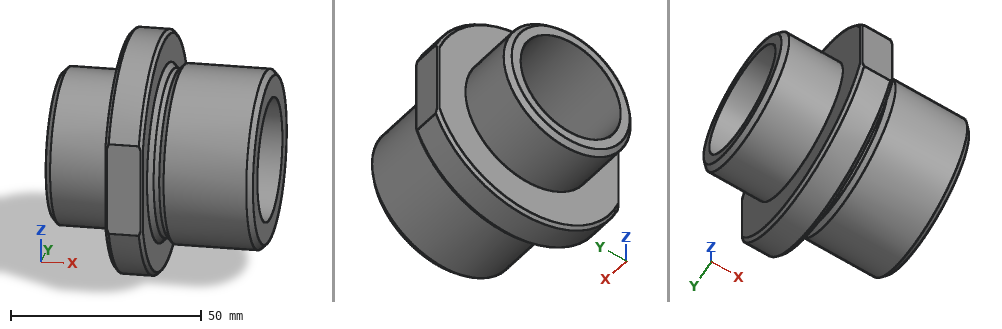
import cadquery as cq

bore_diameter = 33.0
spigot_diameter = 41.9
spigot_length = 18.0
flange_diameter = 65.0
flange_width = 10.0
flange_chamfer = 1.0
flange_across_flats = 60.0
flat_chamfer = 0.5
body_diameter = 47.8
groove_diameter = 44.85
groove_floor_width = 1.5
end_chamfer = 1.5
total_length = 56.0

bore_radius = bore_diameter / 2
spigot_radius = spigot_diameter / 2
flange_radius = flange_diameter / 2
body_radius = body_diameter / 2
groove_radius = groove_diameter / 2
groove_depth = body_radius - groove_radius
flange_end = spigot_length + flange_width
groove_floor_start = flange_end + groove_depth
groove_floor_end = groove_floor_start + groove_floor_width
body_start = groove_floor_end + groove_depth


def revolve_about_x(points):
    """Revolve a closed (x, radius) outline about the X axis."""
    return cq.Workplane("XY").polyline(points).close().revolve(360, (0, 0, 0), (1, 0, 0))


def make_flange():
    """Chamfered disc with two chamfered flats facing +Y and -Y."""
    disc = revolve_about_x([
        (spigot_length, 0),
        (spigot_length, flange_radius - flange_chamfer),
        (spigot_length + flange_chamfer, flange_radius),
        (flange_end - flange_chamfer, flange_radius),
        (flange_end, flange_radius - flange_chamfer),
        (flange_end, 0),
    ])
    flats = (
        cq.Workplane("XY")
        .box(flange_width, flange_across_flats, flange_diameter)
        .edges("|Z")
        .chamfer(flat_chamfer)
        .translate((spigot_length + flange_width / 2, 0, 0))
    )
    return disc.intersect(flats)


def make_spigot():
    """Plain tube end with a chamfered rim."""
    return revolve_about_x([
        (0, 0),
        (0, spigot_radius - end_chamfer),
        (end_chamfer, spigot_radius),
        (spigot_length, spigot_radius),
        (spigot_length, 0),
    ])


def make_body():
    """Larger cylinder with a sloped-side groove beside the flange."""
    return revolve_about_x([
        (flange_end, 0),
        (flange_end, body_radius),
        (groove_floor_start, groove_radius),
        (groove_floor_end, groove_radius),
        (body_start, body_radius),
        (total_length - end_chamfer, body_radius),
        (total_length, body_radius - end_chamfer),
        (total_length, 0),
    ])


bore = cq.Workplane("YZ").circle(bore_radius).extrude(total_length)

result = make_spigot().union(make_flange()).union(make_body()).cut(bore)